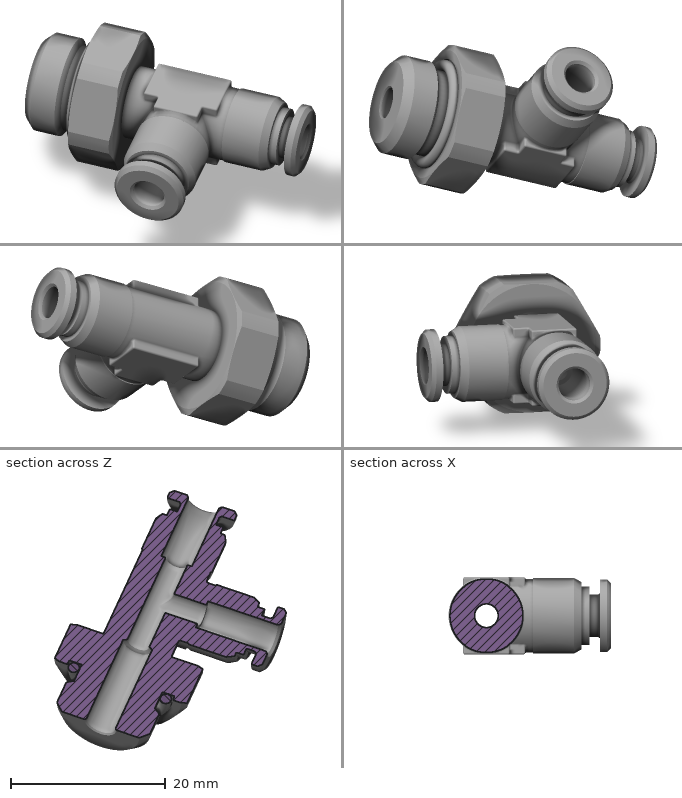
import cadquery as cq
import math

total_length = 36.5
branch_reach = 16.1
branch_x = total_length - branch_reach

stem_radius = 6.5
stem_tip_chamfer = 1.1
stem_length = 4.4
neck_radius = 5.65
neck_start = 4.95

hex_start = 6.93
hex_end = 13.0
hex_across_flats = 17.0
hex_corner_radius = 9.23
hex_face_radius = 8.45
hex_chamfer_length = 0.25

ring_section_radius = 0.755
ring_center_radius = neck_radius + ring_section_radius
ring_center_x = 6.8
groove_radius = 7.3
groove_floor = ring_center_x + ring_section_radius

tube_radius = 4.75
saddle_fillet = 0.2

run_collar_start = 6.3
branch_collar_start = 6.05
collar_radius = 4.9
collar_chamfer_start = 11.3
collar_end = 12.3
collar_end_radius = 4.35
sleeve_end = 13.3
sleeve_radius = 3.75
release_neck_radius = 2.72
release_cone_start = 14.4
release_cone_radius = 2.95
flange_start = 14.7
flange_radius = 4.7
flange_chamfer = 0.5

pad_height = 5.0
pad_long_half = 5.0
pad_short_half = 3.0
pad_edge_fillet = 0.22
pad_base_fillet = 0.3
match_tolerance = 0.001

through_radius = 1.5
stem_bore_radius = 2.0
stem_bore_chamfer = 0.2
stem_bore_length = hex_end
drill_point_angle = 118
drill_cone_length = (stem_bore_radius - through_radius) / math.tan(math.radians(drill_point_angle / 2))
tube_socket_radius = 2.1
tube_socket_chamfer = 0.35


def turned_about_x(outline):
    """Solid of revolution about X from (x, radius) points; both ends close on the axis."""
    points = [(outline[0][0], 0), *outline, (outline[-1][0], 0)]
    return cq.Workplane("XY").polyline(points).close().revolve(360, (0, 0, 0), (1, 0, 0))


def at_branch(shape):
    """Move a shape made about the origin onto the tee center."""
    return shape.translate((branch_x, 0, 0))


def toward_branch(shape):
    """Turn a shape made along +X about the origin so that it points to -Y."""
    return shape.rotate((0, 0, 0), (0, 0, 1), -90)


def make_stem():
    return turned_about_x([
        (0, stem_radius - stem_tip_chamfer),
        (stem_tip_chamfer, stem_radius),
        (stem_length, stem_radius),
        (neck_start, neck_radius),
        (hex_end, neck_radius),
    ])


def make_hexagon():
    corner_diameter = hex_across_flats / math.cos(math.pi / 6)
    prism = (
        cq.Workplane("YZ").workplane(offset=hex_start)
        .polygon(6, corner_diameter).extrude(hex_end - hex_start)
    )
    turned_limit = turned_about_x([
        (hex_start, hex_face_radius),
        (hex_start + hex_chamfer_length, hex_corner_radius),
        (hex_end - hex_chamfer_length, hex_corner_radius),
        (hex_end, hex_face_radius),
    ])
    ring_groove = (
        cq.Workplane("YZ").workplane(offset=hex_start)
        .circle(groove_radius).circle(neck_radius).extrude(groove_floor - hex_start)
    )
    return prism.intersect(turned_limit).cut(ring_groove)


def make_pad():
    """T-shaped block from the tee center up to the pad face, edges rounded."""
    outline = [
        (-pad_long_half, pad_short_half),
        (pad_long_half, pad_short_half),
        (pad_long_half, -pad_short_half),
        (pad_short_half, -pad_short_half),
        (pad_short_half, -pad_long_half),
        (-pad_short_half, -pad_long_half),
        (-pad_short_half, -pad_short_half),
        (-pad_long_half, -pad_short_half),
    ]
    block = cq.Workplane("XY").polyline(outline).close().extrude(pad_height)
    return block.edges("|Z").fillet(pad_edge_fillet).faces(">Z").edges().fillet(pad_edge_fillet)


def make_tee():
    run_length = branch_x - hex_end + run_collar_start
    run_tube = (
        cq.Workplane("YZ").workplane(offset=hex_end - branch_x)
        .circle(tube_radius).extrude(run_length)
    )
    branch_tube = cq.Workplane("XZ").circle(tube_radius).extrude(branch_collar_start)
    upper_pad = make_pad()
    lower_pad = upper_pad.mirror("XY")
    tubes = run_tube.union(branch_tube).edges("%ELLIPSE").fillet(saddle_fillet)
    tee = tubes.union(upper_pad).union(lower_pad)

    base_height = math.sqrt(tube_radius**2 - pad_short_half**2)
    base_edges = tee.edges("|X or |Y").filter(
        lambda edge: abs(abs(edge.Center().z) - base_height) < match_tolerance
    )
    return at_branch(base_edges.fillet(pad_base_fillet))


def make_outlet(collar_start):
    """Collar, sleeve and release ring along +X, measured from the branch axis."""
    return turned_about_x([
        (collar_start, collar_radius),
        (collar_chamfer_start, collar_radius),
        (collar_end, collar_end_radius),
        (collar_end, sleeve_radius),
        (sleeve_end, sleeve_radius),
        (sleeve_end, release_neck_radius),
        (release_cone_start, release_neck_radius),
        (flange_start, release_cone_radius),
        (flange_start, flange_radius),
        (branch_reach - flange_chamfer, flange_radius),
        (branch_reach, flange_radius - flange_chamfer),
    ])


def make_outlet_bore(collar_start):
    """Through bore from the branch axis, then the tube socket with its chamfered mouth."""
    return turned_about_x([
        (0, through_radius),
        (collar_start, through_radius),
        (collar_start, tube_socket_radius),
        (branch_reach - tube_socket_chamfer, tube_socket_radius),
        (branch_reach, tube_socket_radius + tube_socket_chamfer),
    ])


def make_stem_bore():
    return turned_about_x([
        (0, stem_bore_radius + stem_bore_chamfer),
        (stem_bore_chamfer, stem_bore_radius),
        (stem_bore_length, stem_bore_radius),
        (stem_bore_length + drill_cone_length, through_radius),
        (branch_x, through_radius),
    ])


def make_fitting():
    outer = make_stem().union(make_hexagon()).union(make_tee())
    outer = outer.union(at_branch(make_outlet(run_collar_start)))
    outer = outer.union(at_branch(toward_branch(make_outlet(branch_collar_start))))
    return (
        outer.cut(make_stem_bore())
        .cut(at_branch(make_outlet_bore(run_collar_start)))
        .cut(at_branch(toward_branch(make_outlet_bore(branch_collar_start))))
    )


def make_sealing_ring():
    return (
        cq.Workplane("XY").center(ring_center_x, ring_center_radius).circle(ring_section_radius)
        .revolve(360, (0, -ring_center_radius, 0), (1, -ring_center_radius, 0))
    )


fitting = make_fitting()
sealing_ring = make_sealing_ring()

result = cq.Compound.makeCompound([fitting.val(), sealing_ring.val()])